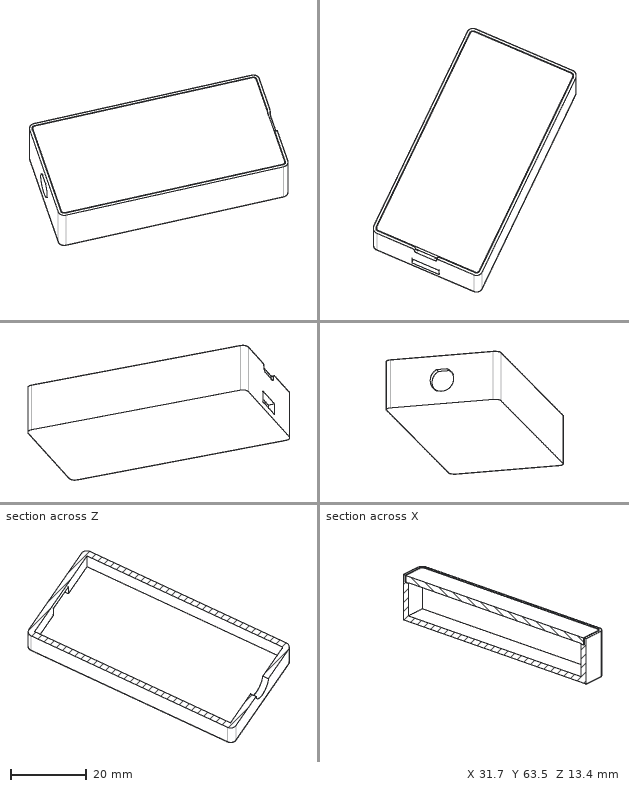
import cadquery as cq
import math

box_width = 31.74
box_length = 63.54
box_height = 13.4
corner_radius = 1.65

wall = 1.8
floor = 1.8
rim_wall = 0.72
lid_gap = 0.16
lid_thickness = 2.0
seat_height = box_height - lid_thickness

hole_diameter = 6.5
hole_center_height = box_height / 2
hole_flat_height = 9.6

slot_width = 8.0
slot_top = 5.0

notch_width = 6.54
notch_radius = 0.8

front_face = -box_length / 2
rear_face = box_length / 2


def rounded_block(inset, bottom, height):
    """Upright block whose rounded outline lies `inset` inside the box outline."""
    return (
        cq.Workplane("XY", origin=(0, 0, bottom))
        .rect(box_width - 2 * inset, box_length - 2 * inset)
        .extrude(height)
        .edges("|Z")
        .fillet(corner_radius - inset)
    )


def cavity():
    """Square-cornered interior below the lid seat."""
    return (
        cq.Workplane("XY", origin=(0, 0, floor))
        .rect(box_width - 2 * wall, box_length - 2 * wall)
        .extrude(seat_height - floor)
    )


def front_hole():
    """Round hole through the front wall, limited above by a flat."""
    round_hole = (
        cq.Workplane("XZ", origin=(0, front_face + wall, hole_center_height))
        .circle(hole_diameter / 2)
        .extrude(wall)
    )
    below_flat = cq.Workplane("XY", origin=(0, front_face + wall / 2, 0)).box(
        hole_diameter, wall, hole_flat_height, centered=(True, True, False)
    )
    return round_hole.intersect(below_flat)


def rear_slot():
    """Rectangular opening through the rear wall, level with the floor."""
    return cq.Workplane("XY", origin=(0, rear_face - wall / 2, floor)).box(
        slot_width, wall, slot_top - floor, centered=(True, True, False)
    )


def rear_notch():
    """Notch in the rear rim down to the lid seat, flared at the top and rounded at the bottom."""
    side = notch_width / 2
    flare = side + notch_radius
    flat = side - notch_radius
    top_bend = box_height - notch_radius
    bottom_bend = seat_height + notch_radius
    arc_offset = notch_radius * (1 - math.cos(math.pi / 4))
    return (
        cq.Workplane("XZ", origin=(0, rear_face, 0))
        .moveTo(-flare, box_height)
        .threePointArc((-side - arc_offset, box_height - arc_offset), (-side, top_bend))
        .lineTo(-side, bottom_bend)
        .threePointArc((-side + arc_offset, seat_height + arc_offset), (-flat, seat_height))
        .lineTo(flat, seat_height)
        .threePointArc((side - arc_offset, seat_height + arc_offset), (side, bottom_bend))
        .lineTo(side, top_bend)
        .threePointArc((side + arc_offset, box_height - arc_offset), (flare, box_height))
        .close()
        .extrude(rim_wall)
    )


def make_housing():
    """Open-topped box with a stepped rim that receives the lid."""
    return (
        rounded_block(0, 0, box_height)
        .cut(cavity())
        .cut(rounded_block(rim_wall, seat_height, lid_thickness))
        .cut(front_hole())
        .cut(rear_slot())
        .cut(rear_notch())
    )


def make_lid():
    """Flat plate resting on the seat, flush with the top of the rim."""
    return rounded_block(rim_wall + lid_gap, seat_height, lid_thickness)


housing = make_housing()
lid = make_lid()

result = cq.Compound.makeCompound([housing.val(), lid.val()])